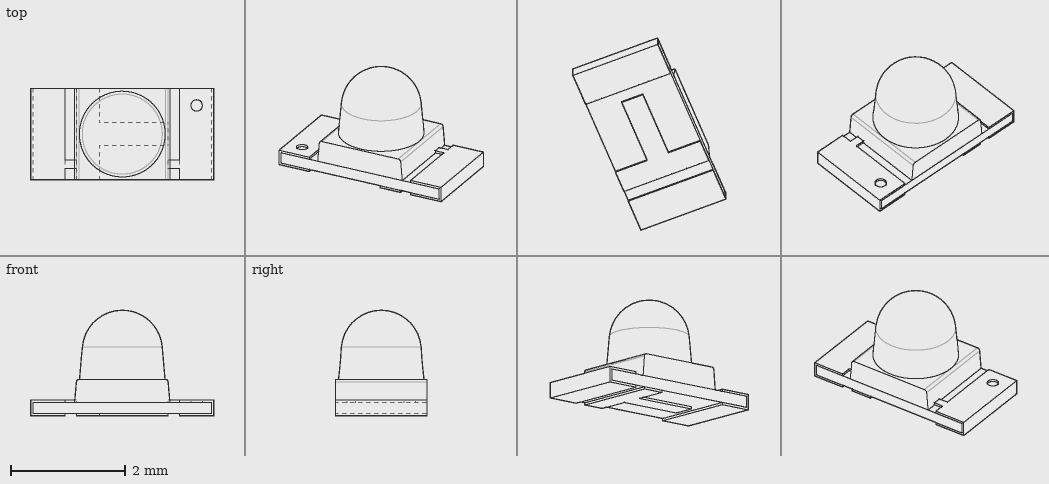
import cadquery as cq
import math


length = 3.2
width = 1.6
height = 1.85

copper = 0.04
board_thickness = 0.2
board_length = length - 2 * copper
board_top = copper + board_thickness
terminal_height = board_top + copper

pad_length = 0.6
pad_inner_x = length / 2 - pad_length
tab_width = 0.15
tab_y = -0.525
tab_inner_x = 0.8
dot_diameter = 0.2
dot_x = 1.3
dot_y = 0.5

mark_half_length = 0.8
mark_bar_length = 0.4
mark_stem_width = 0.4

draft = math.radians(5)
lens_top_half_length = 0.8
lens_base_height = 0.4
lens_edge_radius = 0.05
dome_radius = 0.703


def make_box(x_min, x_max, y_size, z_min, z_max, y_center=0.0):
    """Box given by its X and Z limits and its width about y_center."""
    return (
        cq.Workplane("XY", origin=((x_min + x_max) / 2, y_center, z_min))
        .rect(x_max - x_min, y_size)
        .extrude(z_max - z_min)
    )


def make_board():
    return make_box(-board_length / 2, board_length / 2, width, copper, board_top)


def make_tab():
    """Trace on the board that runs from the +X pad to under the lens."""
    return make_box(tab_inner_x, pad_inner_x, tab_width, board_top, terminal_height, tab_y)


def make_terminal(board):
    """Terminal wrapped around the +X end of the board, with its tab."""
    wrap = make_box(pad_inner_x, length / 2, width, 0, terminal_height)
    return wrap.cut(board).union(make_tab())


def add_dot(terminal):
    """Round opening through the top copper that marks one terminal."""
    dot = (
        cq.Workplane("XY", origin=(dot_x, dot_y, board_top))
        .circle(dot_diameter / 2)
        .extrude(copper)
    )
    return terminal.cut(dot)


def make_polarity_mark():
    bar_end = -mark_half_length + mark_bar_length
    bar = make_box(-mark_half_length, bar_end, width, 0, copper)
    stem = make_box(bar_end, mark_half_length, mark_stem_width, 0, copper)
    return bar.union(stem)


def make_lens_base():
    """Block with drafted ends and rounded upper end edges."""
    foot_half_length = lens_top_half_length + lens_base_height * math.tan(draft)
    base_top = board_top + lens_base_height
    return (
        cq.Workplane("XZ")
        .moveTo(-foot_half_length, board_top)
        .lineTo(foot_half_length, board_top)
        .lineTo(lens_top_half_length, base_top)
        .lineTo(-lens_top_half_length, base_top)
        .close()
        .extrude(width / 2, both=True)
        .edges("|Y and >Z")
        .fillet(lens_edge_radius)
    )


def make_dome():
    """Drafted round column that runs tangent into a spherical cap."""
    column_bottom = board_top + lens_base_height
    sphere_center_z = height - dome_radius
    tangent_radius = dome_radius * math.cos(draft)
    tangent_z = sphere_center_z + dome_radius * math.sin(draft)
    column_radius = tangent_radius + (tangent_z - column_bottom) * math.tan(draft)
    cap_mid_angle = (draft + math.pi / 2) / 2
    cap_mid = (
        dome_radius * math.cos(cap_mid_angle),
        sphere_center_z + dome_radius * math.sin(cap_mid_angle),
    )
    return (
        cq.Workplane("XZ")
        .moveTo(0, column_bottom)
        .lineTo(column_radius, column_bottom)
        .lineTo(tangent_radius, tangent_z)
        .threePointArc(cap_mid, (0, height))
        .close()
        .revolve(360, (0, 0), (0, 1))
    )


def make_lens():
    """Lens with a notch under each end that fits over the terminal's tab."""
    tab = make_tab()
    return make_lens_base().union(make_dome()).cut(tab).cut(tab.mirror("YZ"))


board = make_board()
plain_terminal = make_terminal(board)
left_terminal = plain_terminal.mirror("YZ")
right_terminal = add_dot(plain_terminal)
polarity_mark = make_polarity_mark()
lens = make_lens()

result = cq.Compound.makeCompound([
    *board.solids().vals(),
    *left_terminal.solids().vals(),
    *right_terminal.solids().vals(),
    *polarity_mark.solids().vals(),
    *lens.solids().vals(),
])